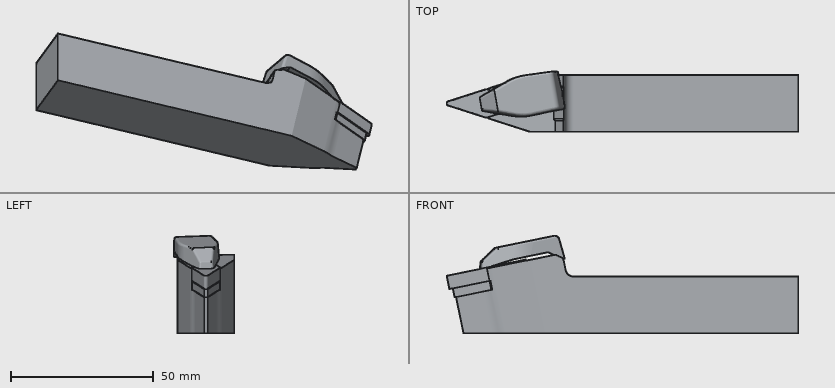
import cadquery as cq
import math

overall_length = 123.2
shank_size = 20.0
half_shank = shank_size / 2
far = 2 * overall_length
tip_clearance = 1.2

head_tilt = 11.6
tip_height = 20.2
tilt_sin = math.sin(math.radians(head_tilt))
tilt_cos = math.cos(math.radians(head_tilt))

tip_half_angle = math.radians(17.5)
flank_slope = math.tan(tip_half_angle)
inscribed_radius = 4.8
corner_radius = 0.8
insert_thickness = 4.8
sharp_tip = -corner_radius * (1 / math.sin(tip_half_angle) - 1)
half_diagonal = inscribed_radius / math.sin(tip_half_angle)
insert_middle = sharp_tip + half_diagonal
insert_half_width = inscribed_radius / math.cos(tip_half_angle)
insert_back = insert_middle + half_diagonal

shim_thickness = 3.2
shim_inset = 0.4
shim_front = 1.2
nose_inset = 0.52
nose_front = 1.7
relief_start = 11.7
relief_end = 16.0
seat_level = -insert_thickness - shim_thickness

head_top = -0.41
ridge_x = 38.1
back_x = 40.9
back_z = 26.2
wall_fillet = 2.7
groove_depth = 0.4
groove_half_width = 6.0
groove_side_run = 0.6

clamp_pivot = 13.5
clamp_turn = 10.0
clamp_top = 6.2
clamp_base = -2.5
top_corners = [(0.5, 2.0), (14.7, 7.1), (27.0, 6.7)]
base_corners = [(-2.1, 2.6), (11.1, 7.4), (27.6, 6.8)]
tail_x = top_corners[-1][0]
upright_radii = [0.7, 14.2]
tail_radius = 1.7
rim_radius = 0.9
nose_slope_start = (-0.5, 2.5)
nose_slope_end = (5.5, clamp_top)
pad_end = 16.0
arch_start = 24.0
arch_height = 0.9

head_plane = cq.Plane(
    origin=(0, 0, tip_height), xDir=(tilt_cos, 0, tilt_sin), normal=(-tilt_sin, 0, tilt_cos)
)
level_turn = head_plane.rotated((0, 0, clamp_turn))
clamp_plane = cq.Plane(
    origin=head_plane.toWorldCoords((clamp_pivot, 0, 0)), xDir=level_turn.xDir, normal=level_turn.zDir
)


def head_surface_z(x):
    """Height of the tilted head surface at a given X."""
    return tip_height + (x * tilt_sin + head_top) / tilt_cos


ridge_z = head_surface_z(ridge_x)
slope_angle = math.atan2(ridge_z - back_z, back_x - ridge_x)
wall_foot_x = back_x + (back_z - shank_size) * tilt_sin / tilt_cos


def half_width_at(x, inset):
    """Half width between the two flanks, moved inward by the inset."""
    return (x - sharp_tip) * flank_slope - inset / math.cos(tip_half_angle)


def make_insert():
    """Rhombic plate with rounded corners."""
    corners = [
        (sharp_tip, 0),
        (insert_middle, -insert_half_width),
        (insert_back, 0),
        (insert_middle, insert_half_width),
    ]
    plate = cq.Workplane(head_plane).polyline(corners).close().extrude(-insert_thickness)
    return plate.edges(cq.selectors.ParallelDirSelector(head_plane.zDir)).fillet(corner_radius)


def make_side_profile():
    """Shank and head as seen along Y, across the full width."""
    front_x = -tip_clearance
    profile = (
        cq.Workplane("XZ")
        .polyline([
            (front_x, 0),
            (overall_length, 0),
            (overall_length, shank_size),
            (wall_foot_x, shank_size),
            (back_x, back_z),
            (ridge_x, ridge_z),
            (front_x, head_surface_z(front_x)),
        ])
        .close()
        .extrude(half_shank, both=True)
    )
    foot = cq.selectors.NearestToPointSelector((wall_foot_x, 0, shank_size))
    return profile.edges(foot).fillet(wall_fillet)


def make_head_prism():
    """Pointed plan of the head: inset nose, S-shaped relief, flush flank, shank side."""
    start = (relief_start, half_width_at(relief_start, nose_inset))
    end = (relief_end, half_width_at(relief_end, 0))
    middle = ((start[0] + end[0]) / 2, (start[1] + end[1]) / 2)
    flank_end = sharp_tip + half_shank / flank_slope
    return (
        cq.Workplane(head_plane)
        .workplane(offset=-overall_length)
        .moveTo(nose_front, 0)
        .lineTo(nose_front, half_width_at(nose_front, nose_inset))
        .lineTo(*start)
        .tangentArcPoint(middle, relative=False)
        .tangentArcPoint(end, relative=False)
        .lineTo(flank_end, half_shank)
        .lineTo(far, half_shank)
        .lineTo(far, 0)
        .mirrorX()
        .extrude(far)
    )


def make_insert_pocket():
    """Wedge in front of the two rear insert edges, above the shim seat."""
    pocket_half_width = 2 * insert_half_width
    return (
        cq.Workplane(head_plane)
        .workplane(offset=seat_level)
        .polyline([(insert_back, 0), (sharp_tip, pocket_half_width), (sharp_tip, -pocket_half_width)])
        .close()
        .extrude(far)
    )


def make_shim():
    """Plate under the insert, inset from its front edges and seated against the pocket walls."""
    front_half = half_width_at(shim_front, shim_inset)
    shim_tip = sharp_tip + shim_inset / math.sin(tip_half_angle)
    side_x = (shim_tip + insert_back) / 2
    side_half = half_width_at(side_x, shim_inset)
    return (
        cq.Workplane(head_plane)
        .workplane(offset=seat_level)
        .polyline([
            (shim_front, -front_half),
            (side_x, -side_half),
            (insert_back, 0),
            (side_x, side_half),
            (shim_front, front_half),
        ])
        .close()
        .extrude(shim_thickness)
    )


def make_tail_groove():
    """Shallow trapezoidal groove running down the rear slope."""
    slope_plane = cq.Plane(
        origin=(ridge_x, 0, ridge_z),
        xDir=(0, 1, 0),
        normal=(math.cos(slope_angle), 0, -math.sin(slope_angle)),
    )
    floor_half = groove_half_width - groove_side_run
    opening_half = groove_half_width + groove_side_run
    return (
        cq.Workplane(slope_plane)
        .polyline([
            (-floor_half, -groove_depth),
            (floor_half, -groove_depth),
            (opening_half, groove_depth),
            (-opening_half, groove_depth),
        ])
        .close()
        .extrude(half_shank, both=True)
    )


def clamp_wire(corners, height):
    """Closed six-cornered outline, symmetric about the clamp axis."""
    mirrored = [(x, -y) for x, y in reversed(corners)]
    outline = [clamp_plane.toWorldCoords((x, y, height)) for x, y in corners + mirrored]
    return cq.Wire.makePolygon(outline, close=True)


def clamp_point(x, y, z):
    """Point given in the clamp frame, as a world coordinate tuple."""
    return clamp_plane.toWorldCoords((x, y, z)).toTuple()


def make_nose_cut():
    """Wedge above the sloped nose face."""
    start_x, start_z = nose_slope_start
    end_x, end_z = nose_slope_end
    slope = (end_z - start_z) / (end_x - start_x)
    reach = end_x - start_x
    return (
        cq.Workplane(cq.Plane(clamp_plane.origin, clamp_plane.xDir, -clamp_plane.yDir))
        .polyline([
            (start_x - reach, start_z - reach * slope),
            (end_x + reach, end_z + reach * slope),
            (start_x - reach, end_z + reach * slope),
        ])
        .close()
        .extrude(half_shank, both=True)
    )


def make_underside_cut():
    """Everything below the insert pad, the arch and the floor of the rear groove."""
    floor_slope = math.tan(slope_angle + math.radians(head_tilt))
    ridge_along = ridge_x * tilt_cos + (ridge_z - tip_height) * tilt_sin
    floor_at_ridge = head_top - groove_depth * math.hypot(1, floor_slope)
    arch_end = ridge_along - (arch_height - floor_at_ridge) / floor_slope
    return (
        cq.Workplane(cq.Plane(head_plane.origin, head_plane.xDir, (0, -1, 0)))
        .polyline([
            (0, 0),
            (pad_end, 0),
            (arch_start, arch_height),
            (arch_end, arch_height),
            (ridge_along + overall_length, floor_at_ridge - floor_slope * overall_length),
            (0, -overall_length),
        ])
        .close()
        .extrude(shank_size, both=True)
    )


def nearest(x, y, z):
    """Selector for the edge or face closest to a point of the clamp frame."""
    return cq.selectors.NearestToPointSelector(clamp_point(x, y, z))


def round_clamp_corners(block):
    """Fillets on the upright edges of the nose and the shoulders, on both sides."""
    for (top_x, top_y), (base_x, base_y), radius in zip(top_corners, base_corners, upright_radii):
        middle_x = (top_x + base_x) / 2
        middle_y = (top_y + base_y) / 2
        for side in (-1, 1):
            upright = nearest(middle_x, side * middle_y, (clamp_top + clamp_base) / 2)
            block = block.edges(upright).fillet(radius)
    return block


def round_clamp_rim(block):
    """One fillet along the nose slope, the sides and the tail, leaving the front of the top sharp."""
    start_x, start_z = nose_slope_start
    end_x, end_z = nose_slope_end
    slope_line = nearest(end_x, 0, end_z)
    slope_face = block.faces(nearest((start_x + end_x) / 2, 0, (start_z + end_z) / 2))
    sharp_edge = slope_face.edges(slope_line).val()
    rim = [edge for edge in slope_face.edges().vals() if not edge.isSame(sharp_edge)]
    shoulder_x, shoulder_y = top_corners[1]
    side_middle_x = (shoulder_x + tail_x) / 2
    for side in (-1, 1):
        rim.append(block.edges(nearest(side_middle_x, side * shoulder_y, clamp_top)).val())
    return cq.Workplane(block.val().fillet(rim_radius, rim))


def make_clamp():
    """Tapered clamp with a sloped nose, an arched underside and a tail in the rear groove."""
    outlines = [clamp_wire(base_corners, clamp_base), clamp_wire(top_corners, clamp_top)]
    block = cq.Workplane(cq.Solid.makeLoft(outlines, True))
    block = round_clamp_corners(block)
    block = block.edges(nearest(tail_x, 0, clamp_top)).fillet(tail_radius)
    block = round_clamp_rim(block.cut(make_nose_cut()))
    return block.cut(make_underside_cut())


def make_holder():
    """Shank, head, shim seat and clamp as one solid."""
    body = make_side_profile().intersect(make_head_prism())
    body = body.cut(make_insert_pocket()).union(make_shim())
    return body.cut(make_tail_groove()).union(make_clamp())


insert = make_insert()
holder = make_holder()
result = cq.Compound.makeCompound([holder.val(), insert.val()])